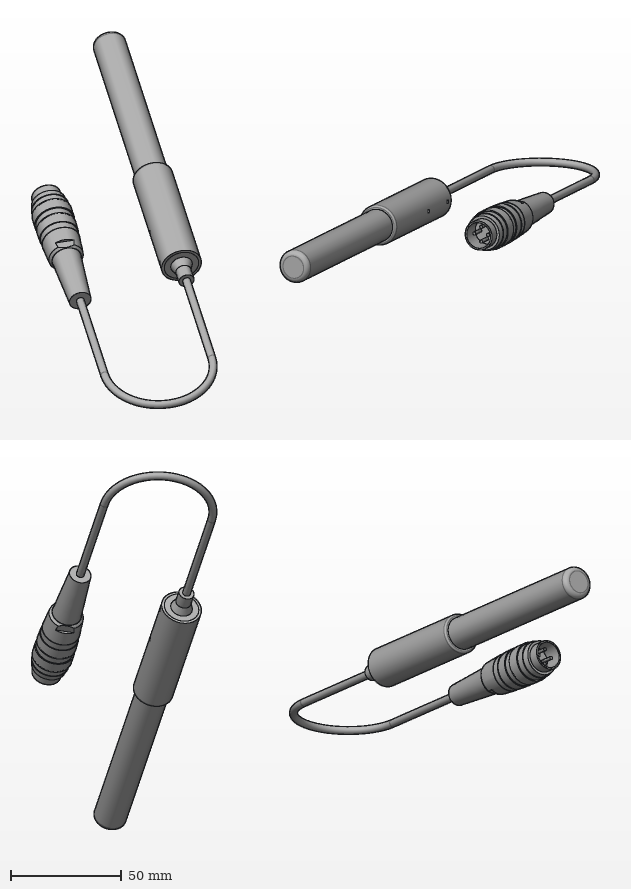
import cadquery as cq
TILT = 13.15

TUBE_DIAMETER = 15.0
TUBE_LENGTH = 90.5
TUBE_TIP_FLAT_DIAMETER = 10.3

HANDLE_DIAMETER = 18.5
HANDLE_LENGTH = 59.5
HANDLE_EDGE_RADIUS = 1.0
SCREW_HOLE_DIAMETER = 1.7
SCREW_HOLE_SPACING = 20.5
SCREW_HOLE_END_DISTANCE = 3.7

PLUG_DIAMETER = 16.0
PLUG_LENGTH = 6.9
GLAND_BASE_DIAMETER = 10.0
GLAND_COLLAR_DIAMETER = 7.0
GLAND_NECK_LENGTH = 4.0
GLAND_COLLAR_LENGTH = 6.5

CABLE_DIAMETER = 3.7
CABLE_UPPER_LENGTH = 52.0
BEND_RADIUS = 25.0

CONNECTOR_TIP_X = 92.0
NOSE_DIAMETER = 13.5
NOSE_LENGTH = 5.0
SHOULDER_DIAMETER = 16.0
SHOULDER_END_DIAMETER = 16.7
SHOULDER_LENGTH = 3.2
GRIP_FRONT_DIAMETER = 18.3
GRIP_DIAMETER = 18.5
GRIP_WIDEST_X = 18.3
GROOVE_COUNT = 3
GROOVE_WIDTH = 3.7
GROOVE_PITCH = 9.4
GROOVE_DIAMETER = 17.5
BODY_LENGTH = 42.3
BODY_END_DIAMETER = 16.0
BODY_END_CHAMFER = 1.1
FLAT_LENGTH = 4.1
FLAT_SPACING = 14.2
BOOT_FRONT_DIAMETER = 13.5
BOOT_END_DIAMETER = 10.0
BOOT_LENGTH = 28.0
SOCKET_DIAMETER = 12.0
SOCKET_DEPTH = 9.2
PIN_DIAMETER = 1.49
PIN_LENGTH = 6.5
PIN_COUNT = 4
PIN_CIRCLE_DIAMETER = 6.9

HANDLE_END_X = TUBE_LENGTH + HANDLE_LENGTH
PLUG_START_X = HANDLE_END_X - PLUG_LENGTH
GLAND_END_X = HANDLE_END_X + GLAND_NECK_LENGTH + GLAND_COLLAR_LENGTH
BEND_X = GLAND_END_X + CABLE_UPPER_LENGTH
CONNECTOR_Y = -2 * BEND_RADIUS
CONNECTOR_END_X = CONNECTOR_TIP_X + BODY_LENGTH + BOOT_LENGTH


def cylinder_along_x(start_x, length, diameter):
    return cq.Workplane("YZ", origin=(start_x, 0, 0)).circle(diameter / 2).extrude(length)


def revolve_about_x(outline):
    return cq.Workplane("XY").polyline(outline).close().revolve(360, (0, 0, 0), (1, 0, 0))


def make_tube():
    tip_radius = (TUBE_DIAMETER - TUBE_TIP_FLAT_DIAMETER) / 2
    return cylinder_along_x(0, TUBE_LENGTH, TUBE_DIAMETER).faces("<X").edges().fillet(tip_radius)


def make_handle():
    handle = cylinder_along_x(TUBE_LENGTH, HANDLE_LENGTH, HANDLE_DIAMETER)
    handle = handle.faces("<X").edges().fillet(HANDLE_EDGE_RADIUS)
    plug_recess = cylinder_along_x(PLUG_START_X, PLUG_LENGTH, PLUG_DIAMETER)
    rear_hole_x = HANDLE_END_X - SCREW_HOLE_END_DISTANCE
    screw_holes = (
        cq.Workplane("XZ", origin=(0, -PLUG_DIAMETER / 2, 0))
        .pushPoints([(rear_hole_x, 0), (rear_hole_x - SCREW_HOLE_SPACING, 0)])
        .circle(SCREW_HOLE_DIAMETER / 2)
        .extrude(HANDLE_DIAMETER)
    )
    return handle.cut(plug_recess).cut(screw_holes)


def make_gland():
    neck_end_x = HANDLE_END_X + GLAND_NECK_LENGTH
    return revolve_about_x([
        (PLUG_START_X, 0),
        (PLUG_START_X, PLUG_DIAMETER / 2),
        (HANDLE_END_X, PLUG_DIAMETER / 2),
        (HANDLE_END_X, GLAND_BASE_DIAMETER / 2),
        (neck_end_x, GLAND_COLLAR_DIAMETER / 2),
        (GLAND_END_X, GLAND_COLLAR_DIAMETER / 2),
        (GLAND_END_X, 0),
    ])


def make_cable():
    path = (
        cq.Workplane("XY")
        .moveTo(GLAND_END_X, 0)
        .lineTo(BEND_X, 0)
        .threePointArc((BEND_X + BEND_RADIUS, -BEND_RADIUS), (BEND_X, CONNECTOR_Y))
        .lineTo(CONNECTOR_END_X, CONNECTOR_Y)
    )
    section = cq.Workplane("YZ", origin=(GLAND_END_X, 0, 0)).circle(CABLE_DIAMETER / 2)
    return section.sweep(path)


def make_connector():
    grip_start_x = NOSE_LENGTH + SHOULDER_LENGTH
    boot_end_x = BODY_LENGTH + BOOT_LENGTH
    outline = (
        cq.Workplane("XY")
        .lineTo(0, NOSE_DIAMETER / 2)
        .lineTo(NOSE_LENGTH, NOSE_DIAMETER / 2)
        .lineTo(NOSE_LENGTH, SHOULDER_DIAMETER / 2)
        .lineTo(grip_start_x, SHOULDER_END_DIAMETER / 2)
        .lineTo(grip_start_x, GRIP_FRONT_DIAMETER / 2)
        .threePointArc(
            (GRIP_WIDEST_X, GRIP_DIAMETER / 2),
            (BODY_LENGTH - BODY_END_CHAMFER, BODY_END_DIAMETER / 2),
        )
        .lineTo(BODY_LENGTH, BODY_END_DIAMETER / 2 - BODY_END_CHAMFER)
        .lineTo(BODY_LENGTH, BOOT_FRONT_DIAMETER / 2)
        .lineTo(boot_end_x, BOOT_END_DIAMETER / 2)
        .lineTo(boot_end_x, 0)
        .close()
    )
    connector = outline.revolve(360, (0, 0, 0), (1, 0, 0))
    for index in range(GROOVE_COUNT):
        groove_x = grip_start_x + index * GROOVE_PITCH
        blank = cylinder_along_x(groove_x, GROOVE_WIDTH, 2 * GRIP_DIAMETER)
        core = cylinder_along_x(groove_x, GROOVE_WIDTH, GROOVE_DIAMETER)
        connector = connector.cut(blank.cut(core))
    for side in (1, -1):
        flat = cq.Workplane("XY").box(FLAT_LENGTH, GRIP_DIAMETER, GRIP_DIAMETER)
        flat_z = side * (FLAT_SPACING + GRIP_DIAMETER) / 2
        connector = connector.cut(flat.translate((BODY_LENGTH - FLAT_LENGTH / 2, 0, flat_z)))
    connector = connector.cut(cylinder_along_x(0, SOCKET_DEPTH, SOCKET_DIAMETER))
    pins = (
        cq.Workplane("YZ", origin=(SOCKET_DEPTH, 0, 0))
        .polarArray(PIN_CIRCLE_DIAMETER / 2, 0, 360, PIN_COUNT)
        .circle(PIN_DIAMETER / 2)
        .extrude(-PIN_LENGTH)
    )
    return connector.union(pins).translate((CONNECTOR_TIP_X, CONNECTOR_Y, 0))


bodies = [make_tube(), make_handle(), make_gland(), make_cable(), make_connector()]
result = cq.Compound.makeCompound(
    [body.rotate((0, 0, 0), (0, 0, 1), -TILT).val() for body in bodies]
)